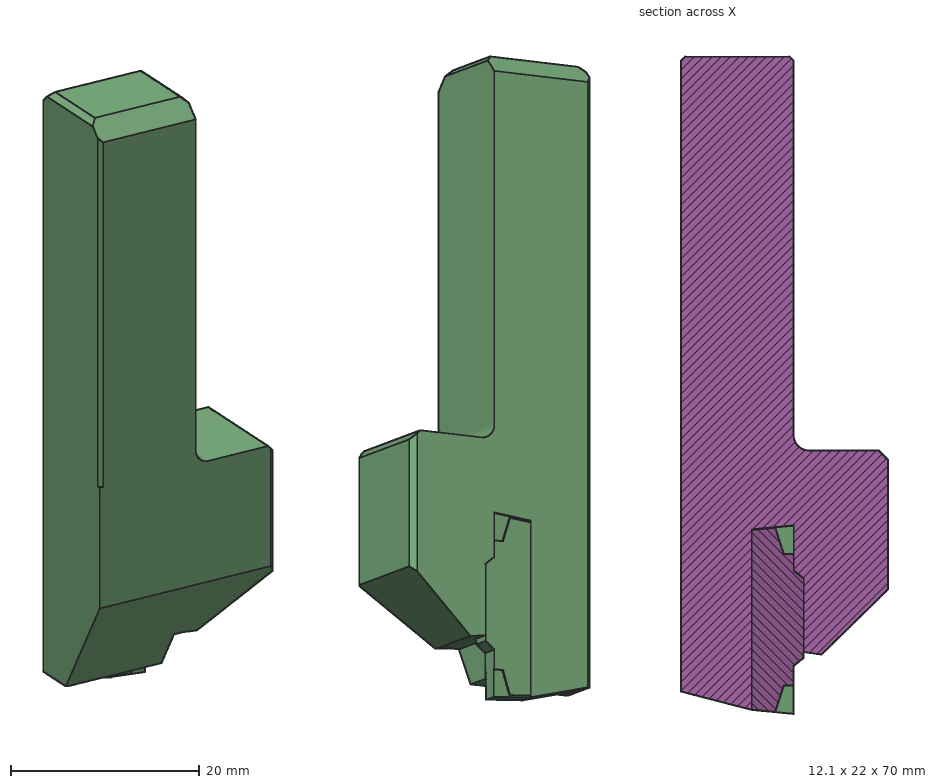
import cadquery as cq

height = 70.0
width = 12.1
shank_depth = 12.0
total_depth = 22.0

top_side_bevel = 2.0
edge_chamfer = 0.6
rear_edge_chamfer = 0.4

head_top = 28.0
head_fillet = 1.6
head_top_chamfer = 1.0
head_back_bottom = 13.2
nose_depth = 14.9
nose_bottom = 6.3
nose_rise = 0.3

toe_front_height = 2.4
blade_thickness = 2.0
floor_height = 2.3
relief_top = 14.0
floor_end = 5.2

insert_length = 20.0
insert_front = 7.55
insert_end_rise = 0.4
insert_end_chamfer = 0.2
tab_depth = 13.0
tab_half_length = 4.2
tab_root_half_length = 5.05
insert_middle = insert_length / 2 + 0.15

recess_depth = 0.175
recess_length = 3.0
recess_width = 1.05
recess_end_width = 2.0

SIDE = "YZ"


def insert_blank():
    """Bar with slightly sloped ends and a locating tab on its back edge."""
    outline = [
        (insert_front, insert_end_rise),
        (shank_depth, 0),
        (shank_depth, insert_middle - tab_root_half_length),
        (tab_depth, insert_middle - tab_half_length),
        (tab_depth, insert_middle + tab_half_length),
        (shank_depth, insert_middle + tab_root_half_length),
        (shank_depth, insert_length),
        (insert_front, insert_length - insert_end_rise),
    ]
    return cq.Workplane(SIDE).polyline(outline).close().extrude(blade_thickness)


def chip_recess(end, inward, x_start):
    """Shallow pocket at one insert end; inward is the Z direction to the middle."""
    recess_end = end + inward * recess_length
    outline = [
        (shank_depth, end),
        (shank_depth - recess_end_width, end),
        (shank_depth - recess_width, recess_end),
        (shank_depth, recess_end),
    ]
    return cq.Workplane(SIDE, origin=(x_start, 0, 0)).polyline(outline).close().extrude(recess_depth)


def make_insert():
    body = insert_blank()
    for end_face in ("<Z", ">Z"):
        long_edges = body.faces(end_face).edges("not |X").edges("<X or >X")
        body = long_edges.chamfer(insert_end_chamfer)
    for x_start in (0, blade_thickness - recess_depth):
        for end, inward in ((0, 1), (insert_length, -1)):
            body = body.cut(chip_recess(end, inward, x_start))
    return body


def holder_blank():
    """Shank, head and toe as one side profile extruded across the width."""
    return (
        cq.Workplane(SIDE)
        .moveTo(0, toe_front_height)
        .lineTo(0, height)
        .lineTo(shank_depth, height)
        .lineTo(shank_depth, head_top + head_fillet)
        .radiusArc((shank_depth + head_fillet, head_top), -head_fillet)
        .lineTo(total_depth - head_top_chamfer, head_top)
        .lineTo(total_depth, head_top - head_top_chamfer)
        .lineTo(total_depth, head_back_bottom)
        .lineTo(nose_depth, nose_bottom)
        .lineTo(tab_depth, nose_bottom + nose_rise)
        .lineTo(shank_depth, nose_bottom + nose_rise)
        .lineTo(shank_depth, 0)
        .lineTo(insert_front, insert_end_rise)
        .close()
        .extrude(width)
    )


def corner_cutter(x, y, size, bottom):
    """Diamond prism that chamfers the vertical edge at (x, y) above bottom."""
    outline = [(x - size, y), (x, y - size), (x + size, y), (x, y + size)]
    return cq.Workplane("XY", origin=(0, 0, bottom)).polyline(outline).close().extrude(height)


def side_relief():
    """Material removed below and beside the blade, open to the +X side."""
    outline = [
        (blade_thickness, 0),
        (blade_thickness, floor_height),
        (floor_end, floor_height),
        (width, relief_top),
        (width, 0),
    ]
    return cq.Workplane("XZ").polyline(outline).close().extrude(-total_depth)


def make_holder():
    body = holder_blank()
    body = body.faces(">Z").edges("|Y").chamfer(top_side_bevel)
    body = body.faces(">Z").edges("|X").chamfer(edge_chamfer)
    body = body.cut(corner_cutter(0, 0, edge_chamfer, 0))
    body = body.cut(corner_cutter(width, 0, rear_edge_chamfer, head_top))
    for x in (0, width):
        body = body.cut(corner_cutter(x, total_depth, edge_chamfer, 0))
    body = body.cut(side_relief())
    return body.cut(insert_blank())


holder = make_holder()
insert = make_insert()

result = cq.Compound.makeCompound([holder.solids().val(), insert.solids().val()])